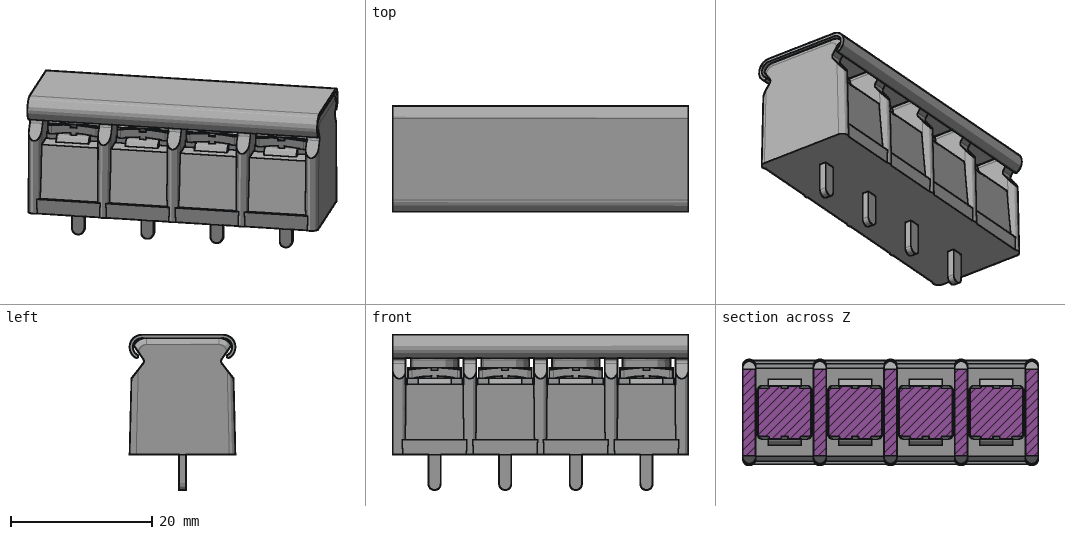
import cadquery as cq
import math


length = 41.8
width = 15.0
cover_top = 16.95
cell_count = 4
pitch = 10.0
wall_thickness = length - cell_count * pitch
wall_radius = wall_thickness / 2
wall_centers = [wall_radius + i * pitch for i in range(cell_count + 1)]
cell_centers = [(i + 0.5) * pitch + wall_radius for i in range(cell_count)]

cover_thickness = 0.5
cover_radius = 1.75
cover_wrap = math.radians(60)

cover_overlap = 0.05
wall_top = cover_top - cover_thickness + cover_overlap
wall_corner_radius = 2.0
wall_draft = math.radians(1.4)
notch_root_y = 5.35
notch_root_z = 13.2
notch_mouth_y = 9.2
notch_rise = 1.45
notch_fall = 1.3
notch_fillet = 0.5

plinth_height = 2.15
plinth_half_width = 7.35
deck_z = 9.95
block_foot_y = 6.9
block_top_y = 6.23

terminal_top = 10.83
terminal_length = 7.85
terminal_half_depth = 3.3
bend_length = 4.7
bend_radius = 1.5

shank_diameter = 3.0
head_diameter = 6.8
head_top = 14.1
head_fillet = 0.63
washer_side = 7.52
washer_top = 12.3
washer_corner = 0.55
arch_half_span = 2.93
arch_height = 0.315
crown_drop = 0.3
tab_width = 0.88
edge_depth = 0.35
washer_notch_width = 0.9
washer_notch_height = 0.38

pin_length = 5.0
pin_width = 1.75
pin_thickness = 1.0


def box(x_size, y_size, z_low, z_high, x=0.0, y=0.0):
    """Box centred on (x, y), standing between two heights."""
    base = cq.Workplane("XY").workplane(offset=z_low).center(x, y)
    return base.rect(x_size, y_size).extrude(z_high - z_low)


def make_cover():
    """Flat strip whose two long edges curl under, ending in rounded lips."""
    flat = width / 2 - cover_radius
    arc_z = cover_top - cover_radius
    inner = cover_radius - cover_thickness
    middle = cover_radius - cover_thickness / 2

    def on_arc(side, radius, angle):
        return (side * (flat + radius * math.cos(angle)), arc_z + radius * math.sin(angle))

    def lip_tip(side):
        y, z = on_arc(side, middle, -cover_wrap)
        half = cover_thickness / 2
        return (y - side * half * math.sin(cover_wrap), z - half * math.cos(cover_wrap))

    profile = (
        cq.Workplane("YZ")
        .moveTo(-flat, cover_top)
        .lineTo(flat, cover_top)
        .threePointArc(on_arc(1, cover_radius, 0), on_arc(1, cover_radius, -cover_wrap))
        .threePointArc(lip_tip(1), on_arc(1, inner, -cover_wrap))
        .threePointArc(on_arc(1, inner, 0), (flat, arc_z + inner))
        .lineTo(-flat, arc_z + inner)
        .threePointArc(on_arc(-1, inner, 0), on_arc(-1, inner, -cover_wrap))
        .threePointArc(lip_tip(-1), on_arc(-1, cover_radius, -cover_wrap))
        .threePointArc(on_arc(-1, cover_radius, 0), (-flat, cover_top))
    )
    return profile.close().extrude(length)


def make_notch(side):
    """V-shaped groove with a rounded root, along the whole block on one side."""
    reach = notch_mouth_y - notch_root_y
    groove = (
        cq.Workplane("YZ")
        .moveTo(side * notch_root_y, notch_root_z)
        .lineTo(side * notch_mouth_y, notch_root_z + notch_rise * reach)
        .lineTo(side * notch_mouth_y, notch_root_z - notch_fall * reach)
        .close()
        .extrude(length)
    )
    root_edge = "<Y" if side > 0 else ">Y"
    return groove.edges("|X").edges(root_edge).fillet(notch_fillet)


def make_wall():
    """Barrier wall centred on X = 0: a flat core with a half-round rim."""
    core_radius = wall_corner_radius - wall_radius
    core_top = wall_top - wall_radius
    arc_z = wall_top - wall_corner_radius
    foot_y = width / 2 - wall_radius
    arc_y = foot_y - (core_radius + arc_z * math.sin(wall_draft)) / math.cos(wall_draft)
    shoulder_y = arc_y + core_radius * math.cos(wall_draft)
    shoulder_z = arc_z + core_radius * math.sin(wall_draft)
    corner_y = arc_y + core_radius * math.cos(math.pi / 4)
    corner_z = arc_z + core_radius * math.sin(math.pi / 4)
    below = wall_radius
    start_y = foot_y + below * math.tan(wall_draft)

    def core_path():
        return (
            cq.Workplane("YZ")
            .moveTo(-start_y, -below)
            .lineTo(-shoulder_y, shoulder_z)
            .threePointArc((-corner_y, corner_z), (-arc_y, core_top))
            .lineTo(arc_y, core_top)
            .threePointArc((corner_y, corner_z), (shoulder_y, shoulder_z))
            .lineTo(start_y, -below)
        )

    core = core_path().close().extrude(wall_radius, both=True)
    rim_plane = cq.Plane(
        origin=(0, -start_y, -below),
        xDir=(-1, 0, 0),
        normal=(0, math.sin(wall_draft), math.cos(wall_draft)),
    )
    rim = (
        cq.Workplane(rim_plane)
        .moveTo(-wall_radius, 0)
        .threePointArc((0, wall_radius), (wall_radius, 0))
        .close()
        .sweep(core_path())
    )
    trim = box(2 * wall_thickness, 2 * width, -3 * below, 0)
    return core.union(rim).cut(trim)


def make_housing():
    """Plinth and drafted terminal blocks joining the outer two walls."""
    span = wall_centers[-1] - wall_centers[0]
    plinth = box(span, 2 * plinth_half_width, 0, plinth_height, length / 2)
    blocks = (
        cq.Workplane("YZ")
        .workplane(offset=wall_centers[0])
        .moveTo(-block_foot_y, plinth_height)
        .lineTo(block_foot_y, plinth_height)
        .lineTo(block_top_y, deck_z)
        .lineTo(-block_top_y, deck_z)
        .close()
        .extrude(span)
    )
    return plinth.union(blocks)


def make_terminal():
    """Contact plate on the deck, with its front and back edges bent down."""
    plate = box(terminal_length, 2 * terminal_half_depth, deck_z, terminal_top)
    for side in (-1, 1):
        bend = (
            cq.Workplane("YZ")
            .center(side * terminal_half_depth, terminal_top - bend_radius)
            .circle(bend_radius)
            .extrude(bend_length / 2, both=True)
        )
        plate = plate.union(bend)
    return plate


def make_washer():
    """Square plate arched underneath, with a crowned edge, a tab and a notch front and back."""
    plate = box(washer_side, washer_side, terminal_top, washer_top)
    plate = plate.edges("|Z").fillet(washer_corner)
    arch = (
        cq.Workplane("XZ")
        .moveTo(-arch_half_span, terminal_top)
        .threePointArc((0, terminal_top + arch_height), (arch_half_span, terminal_top))
        .close()
        .extrude(washer_side, both=True)
    )
    plate = plate.cut(arch)
    half_side = washer_side / 2
    above_crown = (
        cq.Workplane("XZ")
        .moveTo(-half_side, washer_top - crown_drop)
        .threePointArc((0, washer_top), (half_side, washer_top - crown_drop))
        .lineTo(half_side, washer_top + crown_drop)
        .lineTo(-half_side, washer_top + crown_drop)
        .close()
        .extrude(edge_depth / 2, both=True)
    )
    notch_floor = washer_top - washer_notch_height
    edge_y = (washer_side - edge_depth) / 2
    for side in (-1, 1):
        tab = box(tab_width, edge_depth, terminal_top, notch_floor, y=side * edge_y)
        notch = box(washer_notch_width, edge_depth, notch_floor, washer_top, y=side * edge_y)
        plate = plate.union(tab).cut(notch).cut(above_crown.translate((0, side * edge_y, 0)))
    return plate


def make_screw():
    """Cheese-head screw: the shank passes through the washer into the block."""
    shank = (
        cq.Workplane("XY")
        .workplane(offset=deck_z)
        .circle(shank_diameter / 2)
        .extrude(washer_top - deck_z)
    )
    head = (
        cq.Workplane("XY")
        .workplane(offset=washer_top)
        .circle(head_diameter / 2)
        .extrude(head_top - washer_top)
        .faces(">Z")
        .edges()
        .fillet(head_fillet)
    )
    return shank.union(head)


def make_pin():
    """Flat solder pin with a fully rounded tip."""
    radius = pin_width / 2
    return (
        cq.Workplane("XZ")
        .moveTo(-radius, plinth_height)
        .lineTo(-radius, radius - pin_length)
        .threePointArc((0, -pin_length), (radius, radius - pin_length))
        .lineTo(radius, plinth_height)
        .close()
        .extrude(pin_thickness / 2, both=True)
    )


wall = make_wall()
result = make_housing()
for wall_x in wall_centers:
    result = result.union(wall.translate((wall_x, 0, 0)))
for notch_side in (-1, 1):
    result = result.cut(make_notch(notch_side))

cell_parts = [make_terminal(), make_washer(), make_screw(), make_pin()]
for cell_x in cell_centers:
    for cell_part in cell_parts:
        result = result.union(cell_part.translate((cell_x, 0, 0)))
result = result.union(make_cover())